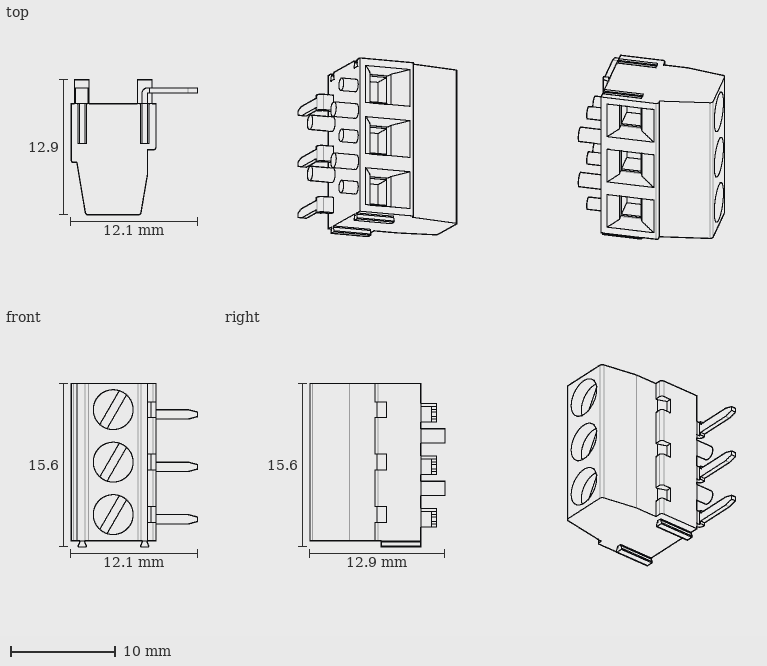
import cadquery as cq
import math


poles = 3
pitch = 5.0
height = poles * pitch
width = 8.1
depth = 10.6
pole_heights = [pitch * (i + 0.5) for i in range(poles)]

entry_step_y = 5.0
entry_step_width = 0.53
flange_step_y = 6.2
flange_step_width = 0.83
pin_side_slant_y = 3.8
nose_left_x = 1.37
nose_right_x = 6.62
nose_radius = 0.3
entry_step_radius = 0.2
flange_radius = 0.3

screw_x = 4.0
screw_diameter = 3.8
screw_well_depth = 1.25
slot_width = 0.8
slot_depth = 0.6
slot_angle = 60.0

funnel_back_y = 10.0
funnel_front_y = 5.43
funnel_height = 3.6
recess_back_y = 9.07
recess_front_y = 6.88
recess_height = 2.8
front_taper_depth = 1.27
back_taper_depth = 1.2
floor_taper_depth = 1.6
recess_depth = 1.8
clamp_back_y = 9.02
clamp_front_y = 7.12
clamp_height = 2.5
clamp_end_x = screw_x

notch_height = 1.5
notch_depth = 1.1
notch_lip_depth = 0.2
notch_slope_width = 0.33

dovetail_positions = [1.05, 7.0]
dovetail_length = 3.8
tongue_height = 0.6
tongue_neck = 0.5
neck_length = 0.12
tongue_head = 0.8
tongue_bevel = 0.1
groove_mouth = 0.8
groove_neck = 0.52
groove_bevel = 0.1
groove_depth = 0.7
groove_floor = 0.9

embed = 0.5
peg_positions = [1.0, 7.0]
peg_diameter = 1.4
peg_length = 2.3
small_peg_x = peg_positions[0]
small_peg_diameter = 1.2
small_peg_length = 1.5

sheet = 0.5
leg_x = 6.75
leg_width = 1.5
leg_rise = 1.5
shoulder_x = 7.45
pin_width = 0.92
pin_tip_x = 12.05
tip_length = 0.9
tip_width = 0.44
pin_drop = 0.45


def box(x_min, x_max, y_min, y_max, z_min, z_max):
    size = (x_max - x_min, y_max - y_min, z_max - z_min)
    return cq.Workplane("XY").box(*size, centered=False).translate((x_min, y_min, z_min))


def extrude_z(points, z_min, z_max):
    return cq.Workplane("XY").workplane(offset=z_min).polyline(points).close().extrude(z_max - z_min)


def extrude_y(points, y_min, y_max):
    return cq.Workplane("XZ", origin=(0, y_min, 0)).polyline(points).close().extrude(y_min - y_max)


def round_edge(solid, x, y, radius):
    """Round the upright edge that passes through (x, y)."""
    return solid.edges(cq.selectors.NearestToPointSelector((x, y, height / 2))).fillet(radius)


def make_housing():
    wall_x = width - flange_step_width
    outline = [
        (nose_left_x, 0),
        (nose_right_x, 0),
        (wall_x, pin_side_slant_y),
        (wall_x, flange_step_y),
        (width, flange_step_y),
        (width, depth),
        (0, depth),
        (0, entry_step_y),
        (entry_step_width, entry_step_y),
    ]
    body = extrude_z(outline, 0, height)
    body = round_edge(body, nose_left_x, 0, nose_radius)
    body = round_edge(body, nose_right_x, 0, nose_radius)
    body = round_edge(body, width, flange_step_y, flange_radius)
    return round_edge(body, 0, entry_step_y, entry_step_radius)


def make_screw_well(z):
    radius = screw_diameter / 2
    total_depth = screw_well_depth + slot_depth
    well = cq.Workplane("XZ").circle(radius).extrude(-screw_well_depth)
    slot = cq.Workplane("XZ").rect(screw_diameter, slot_width).extrude(-total_depth)
    slot = slot.rotate((0, 0, 0), (0, 1, 0), -slot_angle)
    slot = slot.intersect(cq.Workplane("XZ").circle(radius).extrude(-total_depth))
    return well.union(slot).translate((screw_x, 0, z))


def make_wire_entry(z):
    plan = [
        (0, funnel_front_y),
        (front_taper_depth, recess_front_y),
        (recess_depth, clamp_front_y),
        (recess_depth, recess_back_y),
        (back_taper_depth, recess_back_y),
        (0, funnel_back_y),
    ]
    elevation = [
        (0, z - funnel_height / 2),
        (floor_taper_depth, z - recess_height / 2),
        (recess_depth, z - recess_height / 2),
        (recess_depth, z + recess_height / 2),
        (floor_taper_depth, z + recess_height / 2),
        (0, z + funnel_height / 2),
    ]
    funnel = extrude_z(plan, z - funnel_height / 2, z + funnel_height / 2)
    funnel = funnel.intersect(extrude_y(elevation, funnel_front_y, funnel_back_y))
    clamp = box(
        back_taper_depth, clamp_end_x,
        clamp_front_y, clamp_back_y,
        z - clamp_height / 2, z + clamp_height / 2,
    )
    return funnel.union(clamp)


def make_flange_notch(z):
    wall_x = width - flange_step_width
    plan = [
        (wall_x, flange_step_y),
        (width, flange_step_y),
        (width, flange_step_y + notch_depth),
        (wall_x + notch_slope_width, flange_step_y + notch_depth),
        (wall_x, flange_step_y + notch_lip_depth),
    ]
    return extrude_z(plan, z - notch_height / 2, z + notch_height / 2)


def make_groove(x):
    half_profile = [
        (groove_mouth / 2, height),
        (groove_neck / 2, height - groove_bevel),
        (groove_neck / 2, height - groove_bevel - neck_length),
        (groove_floor / 2, height - groove_depth),
    ]
    profile = [(x + dx, z) for dx, z in half_profile]
    profile += [(x - dx, z) for dx, z in reversed(half_profile)]
    return extrude_y(profile, depth - dovetail_length, depth)


def make_tongue(x):
    half_profile = [
        (tongue_neck / 2, 0),
        (tongue_neck / 2, -neck_length),
        (tongue_head / 2, tongue_bevel - tongue_height),
        (tongue_head / 2 - tongue_bevel / 2, -tongue_height),
    ]
    profile = [(x + dx, z) for dx, z in half_profile]
    profile += [(x - dx, z) for dx, z in reversed(half_profile)]
    return extrude_y(profile, depth - dovetail_length, depth)


def make_peg(x, z, diameter, length):
    base = cq.Workplane("XZ", origin=(x, depth - embed, z))
    return base.circle(diameter / 2).extrude(-(length + embed))


def make_contact(z):
    top_y = depth + leg_rise
    inner_y = top_y - sheet
    diagonal = sheet * math.sqrt(0.5)
    leg = (
        cq.Workplane("XY").workplane(offset=z - leg_width / 2)
        .moveTo(leg_x, depth - embed)
        .lineTo(leg_x + sheet, depth - embed)
        .lineTo(leg_x + sheet, inner_y)
        .lineTo(shoulder_x, inner_y)
        .lineTo(shoulder_x, top_y)
        .lineTo(leg_x + sheet, top_y)
        .threePointArc((leg_x + sheet - diagonal, inner_y + diagonal), (leg_x, inner_y))
        .close()
        .extrude(leg_width)
    )
    blade = [
        (shoulder_x, z - pin_width / 2),
        (pin_tip_x - tip_length, z - pin_width / 2),
        (pin_tip_x, z - tip_width / 2),
        (pin_tip_x, z + tip_width / 2),
        (pin_tip_x - tip_length, z + pin_width / 2),
        (shoulder_x, z + pin_width / 2),
    ]
    return leg.union(extrude_y(blade, inner_y, top_y))


result = make_housing()

for pole_z in pole_heights:
    result = result.cut(make_screw_well(pole_z))
    result = result.cut(make_wire_entry(pole_z))
    result = result.cut(make_flange_notch(pole_z))
    result = result.union(make_peg(small_peg_x, pole_z, small_peg_diameter, small_peg_length))
    result = result.union(make_contact(pole_z - pin_drop))

for dovetail_x in dovetail_positions:
    result = result.cut(make_groove(dovetail_x))
    result = result.union(make_tongue(dovetail_x))

for peg_x in peg_positions:
    for joint in range(1, poles):
        result = result.union(make_peg(peg_x, joint * pitch, peg_diameter, peg_length))